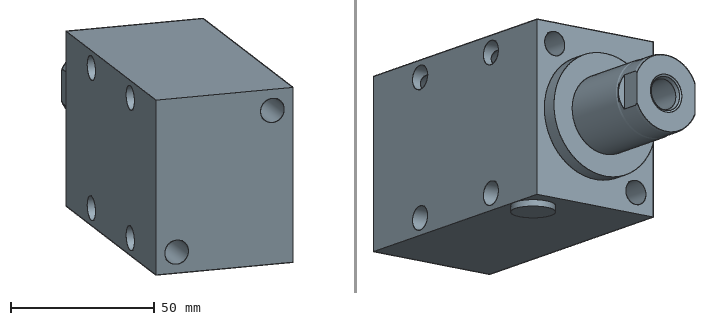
import cadquery as cq

TOTAL_LENGTH = 136.8
BLOCK_START = 41.3
BLOCK_LENGTH = TOTAL_LENGTH - BLOCK_START
BLOCK_WIDTH = 50.7
BLOCK_HEIGHT = 63.5

FLANGE_DIAMETER = 44.5
FLANGE_THICKNESS = 5.6
ROD_RADIUS = 28.6 / 2
NOSE_RADIUS = 28.2 / 2
TIP_CHAMFER_LENGTH = 1.1
TIP_CHAMFER_DEPTH = 0.3
NOSE_LENGTH = 9.3
NOSE_TAPER_LENGTH = 0.7

FLAT_SPACING = 25.3
FLAT_LENGTH = 7.5

BORE_DIAMETER = 11.1
BORE_DEPTH = 24.6
BORE_MOUTH_DIAMETER = 13.7
LEAD_IN_DIAMETER = 12.3
LEAD_IN_DEPTH = 0.4
BORE_CONE_END = 1.8

HOLE_DIAMETER = 8.8
CROSS_HOLE_FIRST_X = 68.3
CROSS_HOLE_PITCH_X = 41.3
CROSS_HOLE_EDGE_Z = 6.3
LONG_HOLE_EDGE = 7.7

PAD_DIAMETER = 15.7
PAD_HEIGHT = 2.3
PAD_X = 54.2


def make_block():
    return cq.Workplane("XY").box(
        BLOCK_LENGTH, BLOCK_WIDTH, BLOCK_HEIGHT, centered=(False, True, True)
    ).translate((BLOCK_START, 0, 0))


def make_flange():
    flange_start = BLOCK_START - FLANGE_THICKNESS
    return (
        cq.Workplane("YZ", origin=(flange_start, 0, 0))
        .circle(FLANGE_DIAMETER / 2)
        .extrude(FLANGE_THICKNESS)
    )


def make_rod():
    profile = [
        (0, 0),
        (0, NOSE_RADIUS - TIP_CHAMFER_DEPTH),
        (TIP_CHAMFER_LENGTH, NOSE_RADIUS),
        (NOSE_LENGTH, NOSE_RADIUS),
        (NOSE_LENGTH + NOSE_TAPER_LENGTH, ROD_RADIUS),
        (BLOCK_START, ROD_RADIUS),
        (BLOCK_START, 0),
    ]
    return cq.Workplane("XY").polyline(profile).close().revolve(360, (0, 0, 0), (1, 0, 0))


def make_flat_cutter():
    """Material removed beside the +Y flat, with a 45 degree run-out."""
    inner = FLAT_SPACING / 2
    outer = ROD_RADIUS + 1.4
    profile = [(0, inner), (FLAT_LENGTH, inner), (FLAT_LENGTH + outer - inner, outer), (0, outer)]
    return cq.Workplane("XY").polyline(profile).close().extrude(ROD_RADIUS, both=True)


def make_bore():
    radius = BORE_DIAMETER / 2
    profile = [
        (0, 0),
        (0, BORE_MOUTH_DIAMETER / 2),
        (LEAD_IN_DEPTH, LEAD_IN_DIAMETER / 2),
        (BORE_CONE_END, radius),
        (BORE_DEPTH, radius),
        (BORE_DEPTH, 0),
    ]
    return cq.Workplane("XY").polyline(profile).close().revolve(360, (0, 0, 0), (1, 0, 0))


def make_cross_holes():
    """Four holes through the block along Y."""
    hole_z = BLOCK_HEIGHT / 2 - CROSS_HOLE_EDGE_Z
    centers = [
        (CROSS_HOLE_FIRST_X + column * CROSS_HOLE_PITCH_X, side * hole_z)
        for column in range(2)
        for side in (-1, 1)
    ]
    return (
        cq.Workplane("XZ")
        .pushPoints(centers)
        .circle(HOLE_DIAMETER / 2)
        .extrude(BLOCK_WIDTH / 2, both=True)
    )


def make_long_holes():
    """Two holes through the block along X, in diagonally opposite corners."""
    hole_y = BLOCK_WIDTH / 2 - LONG_HOLE_EDGE
    hole_z = BLOCK_HEIGHT / 2 - LONG_HOLE_EDGE
    return (
        cq.Workplane("YZ", origin=(BLOCK_START, 0, 0))
        .pushPoints([(hole_y, hole_z), (-hole_y, -hole_z)])
        .circle(HOLE_DIAMETER / 2)
        .extrude(BLOCK_LENGTH)
    )


def make_pad():
    pad_y = (BLOCK_WIDTH - PAD_DIAMETER) / 2
    return (
        cq.Workplane("XY", origin=(PAD_X, pad_y, -BLOCK_HEIGHT / 2))
        .circle(PAD_DIAMETER / 2)
        .extrude(-PAD_HEIGHT)
    )


flat_cutter = make_flat_cutter()
rod = make_rod().cut(flat_cutter).cut(flat_cutter.mirror("XZ"))
block = make_block().cut(make_cross_holes()).cut(make_long_holes())
result = block.union(make_flange()).union(rod).union(make_pad()).cut(make_bore())